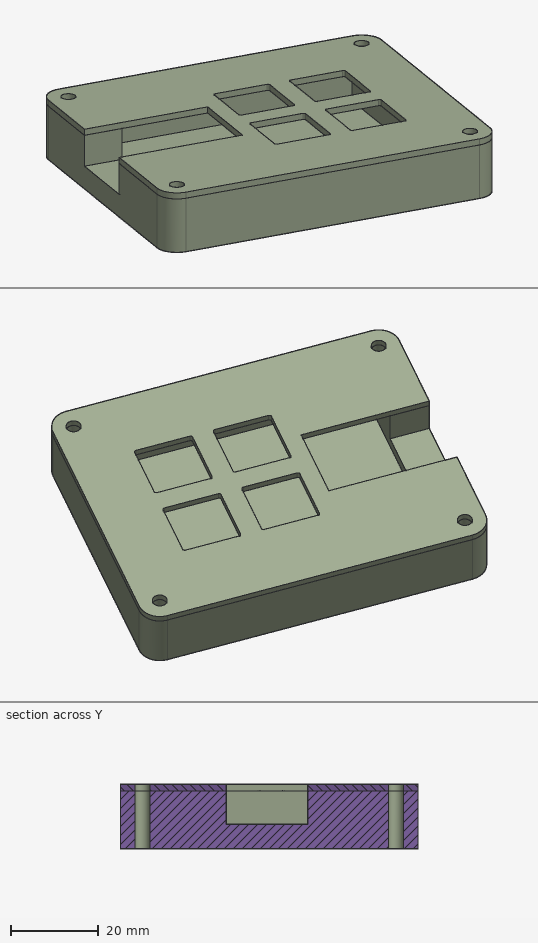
import cadquery as cq

LENGTH_X = 67.66
LENGTH_Y = 83.77
TOTAL_HEIGHT = 14.7
CORNER_RADIUS = 5.0

PLATE_THICKNESS = 1.5
CASE_HEIGHT = TOTAL_HEIGHT - PLATE_THICKNESS
FLOOR_THICKNESS = 3.0
NOTCH_FLOOR_HEIGHT = 5.6

WALL_THICKNESS = 9.5
CAVITY_X = LENGTH_X - 2 * WALL_THICKNESS
CAVITY_Y = LENGTH_Y - 2 * WALL_THICKNESS

SCREW_DIAMETER = 3.4
SCREW_INSET = CORNER_RADIUS
SCREW_SPACING_X = LENGTH_X - 2 * SCREW_INSET
SCREW_SPACING_Y = LENGTH_Y - 2 * SCREW_INSET

SWITCH_SIZE = 14.0
SWITCH_PITCH = 19.05
SWITCH_CORNER_RADIUS = 0.5
SWITCH_COUNT = 2
SWITCH_CENTER = (0.45, 10.05)

NOTCH_WIDTH = 18.5
NOTCH_LENGTH = 31.0
NOTCH_CENTER_X = -0.5
FRONT_Y = -LENGTH_Y / 2


def rounded_slab(bottom, thickness):
    """Block with the outer outline, rounded at its four upright corners."""
    return (
        cq.Workplane("XY", origin=(0, 0, bottom))
        .rect(LENGTH_X, LENGTH_Y)
        .extrude(thickness)
        .edges("|Z")
        .fillet(CORNER_RADIUS)
    )


def screw_holes():
    """Cutters for the four screw holes, as tall as the whole part."""
    return (
        cq.Workplane("XY")
        .rect(SCREW_SPACING_X, SCREW_SPACING_Y, forConstruction=True)
        .vertices()
        .circle(SCREW_DIAMETER / 2)
        .extrude(TOTAL_HEIGHT)
    )


def front_notch(bottom, length):
    """Cutter open at the -Y edge, reaching `length` inward and up to the top."""
    return (
        cq.Workplane("XY", origin=(NOTCH_CENTER_X, FRONT_Y + length / 2, bottom))
        .rect(NOTCH_WIDTH, length)
        .extrude(TOTAL_HEIGHT - bottom)
    )


def switch_openings():
    """Cutters for the grid of square switch openings."""
    return (
        cq.Workplane("XY", origin=(*SWITCH_CENTER, CASE_HEIGHT))
        .rarray(SWITCH_PITCH, SWITCH_PITCH, SWITCH_COUNT, SWITCH_COUNT)
        .rect(SWITCH_SIZE, SWITCH_SIZE)
        .extrude(PLATE_THICKNESS)
        .edges("|Z")
        .fillet(SWITCH_CORNER_RADIUS)
    )


def make_case():
    """Open-topped case with thick walls and a notch through the front wall."""
    cavity = (
        cq.Workplane("XY", origin=(0, 0, FLOOR_THICKNESS))
        .rect(CAVITY_X, CAVITY_Y)
        .extrude(CASE_HEIGHT - FLOOR_THICKNESS)
    )
    return (
        rounded_slab(0, CASE_HEIGHT)
        .cut(cavity)
        .cut(front_notch(NOTCH_FLOOR_HEIGHT, WALL_THICKNESS))
        .cut(screw_holes())
    )


def make_plate():
    """Cover plate lying on the case."""
    return (
        rounded_slab(CASE_HEIGHT, PLATE_THICKNESS)
        .cut(switch_openings())
        .cut(front_notch(CASE_HEIGHT, NOTCH_LENGTH))
        .cut(screw_holes())
    )


case = make_case()
plate = make_plate()
result = cq.Compound.makeCompound([case.val(), plate.val()])